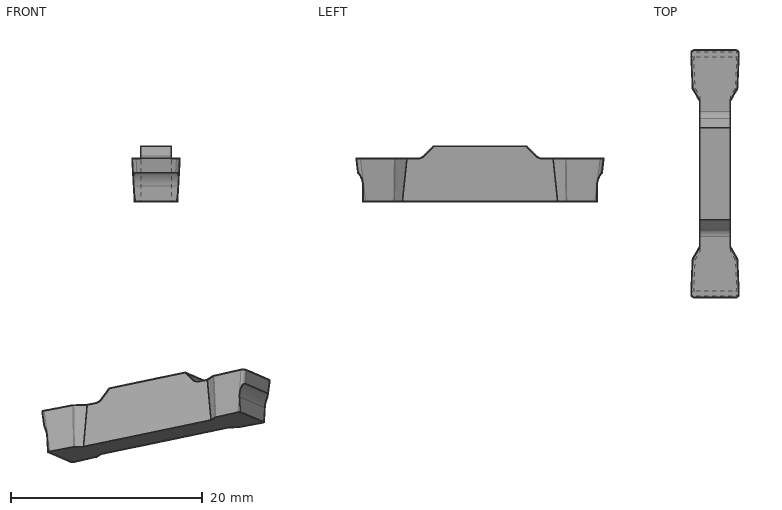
import cadquery as cq
import math


overall_length = 25.8
overall_height = 5.79
cutting_width = 5.0
bar_width = 3.2

head_height = 4.49
flank_end = 4.0
plan_relief_angle = 2.5
neck_angle = 30.0
side_draft_angle = 3.0
front_relief_angle = 7.0
corner_radius = 0.4
shoulder_radius = 0.2

recess_depth = 0.7
recess_top_drop = 1.46
recess_arc_drop = 2.86

ramp_angle = 45.0
ramp_foot = 6.38
ramp_foot_radius = 1.0

half_length = overall_length / 2
half_bar = bar_width / 2
plan_relief = math.radians(plan_relief_angle)
front_slope = math.tan(math.radians(front_relief_angle))
sharp_half_width = cutting_width / 2 + corner_radius * (math.tan(plan_relief) + 1 / math.cos(plan_relief) - 1)
flank_half_width = sharp_half_width - flank_end * math.tan(plan_relief)
neck_start = flank_end + (flank_half_width - half_bar) / math.tan(math.radians(neck_angle))


def make_bar():
    """Central bar whose ramps rise from the head level to the raised middle."""
    ramp = math.radians(ramp_angle)
    bar_end = half_length - flank_end
    foot_y = half_length - ramp_foot - ramp_foot_radius * math.tan(ramp / 2)
    crest_y = foot_y - (overall_height - head_height) / math.tan(ramp)
    profile = [
        (-bar_end, 0),
        (bar_end, 0),
        (bar_end, head_height),
        (foot_y, head_height),
        (crest_y, overall_height),
        (-crest_y, overall_height),
        (-foot_y, head_height),
        (-bar_end, head_height),
    ]
    bar = cq.Workplane("YZ").polyline(profile).close().extrude(half_bar, both=True)
    for side in (-1, 1):
        foot_edge = cq.selectors.NearestToPointSelector((0, side * foot_y, head_height))
        bar = bar.edges(foot_edge).fillet(ramp_foot_radius)
    return bar


def make_head_blank():
    """Head at the -Y end: drafted sides, sloping front, rounded corners and shoulders."""
    tip_y = -half_length
    outline = [
        (-sharp_half_width, tip_y),
        (sharp_half_width, tip_y),
        (flank_half_width, tip_y + flank_end),
        (half_bar, tip_y + neck_start),
        (-half_bar, tip_y + neck_start),
        (-flank_half_width, tip_y + flank_end),
    ]
    drafted = (
        cq.Workplane("XY", origin=(0, 0, head_height))
        .polyline(outline)
        .close()
        .extrude(-head_height, taper=side_draft_angle)
    )
    behind_front = (
        cq.Workplane("YZ")
        .moveTo(tip_y, head_height)
        .lineTo(tip_y + head_height * front_slope, 0)
        .lineTo(0, 0)
        .lineTo(0, head_height)
        .close()
        .extrude(cutting_width, both=True)
    )
    blank = drafted.intersect(behind_front)
    blank = blank.faces("<Y").edges("<X or >X").fillet(corner_radius)
    for side in (-1, 1):
        shoulder = (side * flank_half_width, tip_y + flank_end, head_height / 2)
        blank = blank.edges(cq.selectors.NearestToPointSelector(shoulder)).fillet(shoulder_radius)
    return blank


def make_front_recess():
    """Cutter for the lower front: a hollow curve running tangent into an upright face."""
    tip_y = -half_length
    wall_y = tip_y + recess_depth
    curve_top = (tip_y + recess_top_drop * front_slope, head_height - recess_top_drop)
    curve_end = (wall_y, head_height - recess_arc_drop)
    return (
        cq.Workplane("YZ")
        .moveTo(tip_y, 0)
        .lineTo(wall_y, 0)
        .lineTo(*curve_end)
        .tangentArcPoint(curve_top, relative=False)
        .lineTo(tip_y, curve_top[1])
        .close()
        .extrude(cutting_width, both=True)
    )


head = make_head_blank().cut(make_front_recess())
opposite_head = head.rotate((0, 0, 0), (0, 0, 1), 180)
result = make_bar().union(head).union(opposite_head).clean()